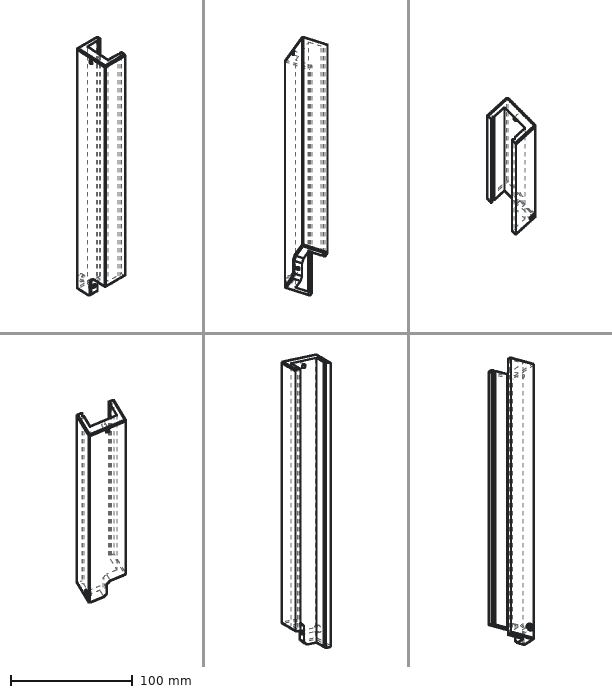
import cadquery as cq

WIDTH = 34.2
DEPTH = 22.9
LENGTH = 249.9

WALL = 4.8
BASE = 8.0
EDGE_CHAMFER = 1.0

GROOVE_OFFSET = 2.5
GROOVE_HALF_WIDTH = 1.1
GROOVE_DEPTH = 1.1

NOTCH_HEIGHT = 20.0
NOTCH_CHAMFER = 3.0
TONGUE_WIDTH = 16.9

HOLE_DIAMETER = 3.2
BORE_DIAMETER = 6.0
BORE_DEPTH = 3.0
FRONT_HOLE_DROP = 5.0
SIDE_HOLE_HEIGHT = 10.0
SIDE_HOLE_SETBACK = 4.15

LEFT = -WIDTH / 2
RIGHT = WIDTH / 2
TONGUE_EDGE = LEFT + TONGUE_WIDTH


def make_blank():
    """Solid bar with the stepped lower end and chamfered outer edges."""
    outline = [
        (LEFT, 0),
        (TONGUE_EDGE - NOTCH_CHAMFER, 0),
        (TONGUE_EDGE, NOTCH_CHAMFER),
        (TONGUE_EDGE, NOTCH_HEIGHT - NOTCH_CHAMFER),
        (TONGUE_EDGE + NOTCH_CHAMFER, NOTCH_HEIGHT),
        (RIGHT, NOTCH_HEIGHT),
        (RIGHT, LENGTH),
        (LEFT, LENGTH),
    ]
    bar = cq.Workplane("XZ").polyline(outline).close().extrude(-DEPTH)
    side_corners = bar.edges("|Y").edges("<X or >X")
    bar = side_corners.chamfer(EDGE_CHAMFER)
    return bar.faces("<Y").edges().chamfer(EDGE_CHAMFER)


def make_channel():
    """Full-length cavity, open at the +Y side, with a V groove in each wall."""
    half = WIDTH / 2 - WALL
    groove_y = DEPTH - GROOVE_OFFSET
    right_side = [
        (half, BASE),
        (half, groove_y - GROOVE_HALF_WIDTH),
        (half + GROOVE_DEPTH, groove_y),
        (half, groove_y + GROOVE_HALF_WIDTH),
        (half, DEPTH),
    ]
    left_side = [(-x, y) for x, y in reversed(right_side)]
    return cq.Workplane("XY").polyline(right_side + left_side).close().extrude(LENGTH)


def drill_front_hole(body):
    """Plain hole through the base near the upper end."""
    cutter = (
        cq.Workplane("XZ")
        .center(0, LENGTH - FRONT_HOLE_DROP)
        .circle(HOLE_DIAMETER / 2)
        .extrude(-BASE)
    )
    return body.cut(cutter)


def drill_side_hole(body):
    """Counterbored cross hole through the tongue, entering from the -X side."""
    return (
        body.copyWorkplane(cq.Workplane("YZ", origin=(LEFT, 0, 0)))
        .transformed(rotate=(0, 180, 0))
        .center(-SIDE_HOLE_SETBACK, SIDE_HOLE_HEIGHT)
        .cboreHole(HOLE_DIAMETER, BORE_DIAMETER, BORE_DEPTH, TONGUE_WIDTH)
    )


body = make_blank().cut(make_channel())
body = drill_front_hole(body)
result = drill_side_hole(body)